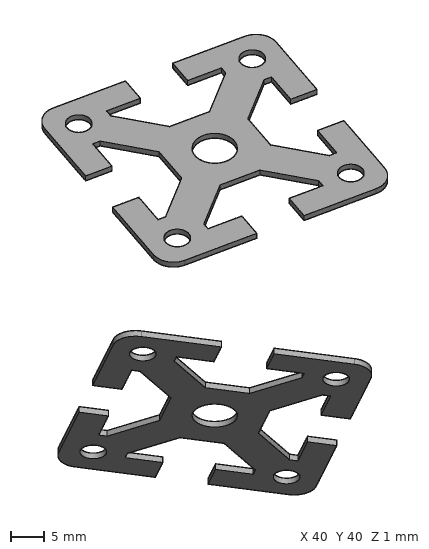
import cadquery as cq

side = 40.0
thickness = 1.0
corner_radius = 3.5
center_hole_diameter = 6.8
corner_hole_diameter = 4.0
corner_hole_offset = 15.0

mouth_width = 8.15
lip_thickness = 4.55
cavity_width = 19.85
floor_width = 6.9
core_width = 15.35

half_side = side / 2
lip_inner = half_side - lip_thickness
floor_height = core_width / 2
flank_top = floor_height + (cavity_width - floor_width) / 2


def t_slot():
    """Cutter for the slot opening on the +Y side."""
    right_half = [
        (floor_width / 2, floor_height),
        (cavity_width / 2, flank_top),
        (cavity_width / 2, lip_inner),
        (mouth_width / 2, lip_inner),
        (mouth_width / 2, half_side),
    ]
    left_half = [(-x, y) for x, y in reversed(right_half)]
    return cq.Workplane("XY").polyline(right_half + left_half).close().extrude(thickness)


plate = cq.Workplane("XY").rect(side, side).extrude(thickness)
plate = plate.edges("|Z").fillet(corner_radius)

for angle in (0, 90, 180, 270):
    plate = plate.cut(t_slot().rotate((0, 0, 0), (0, 0, 1), angle))

plate = plate.faces(">Z").workplane(origin=(0, 0, thickness)).hole(center_hole_diameter)
corner_hole_pitch = 2 * corner_hole_offset
plate = (
    plate.faces(">Z")
    .workplane(origin=(0, 0, thickness))
    .rect(corner_hole_pitch, corner_hole_pitch, forConstruction=True)
    .vertices()
    .hole(corner_hole_diameter)
)

result = plate